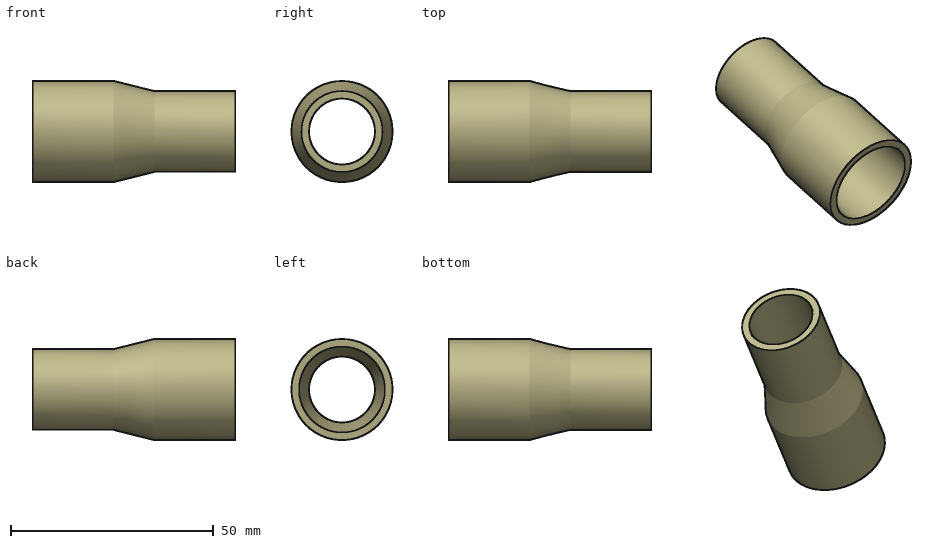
import cadquery as cq

large_outer_diameter = 25.0
large_bore_diameter = 21.2
small_outer_diameter = 20.0
small_bore_diameter = 16.2
socket_length = 20.0
taper_length = 10.0

taper_start = socket_length
taper_end = taper_start + taper_length
total_length = taper_end + socket_length


def stepped_body(large_diameter, small_diameter):
    """Solid of revolution about X: large cylinder, cone, small cylinder."""
    large_radius = large_diameter / 2
    small_radius = small_diameter / 2
    half_profile = [
        (0, 0),
        (0, large_radius),
        (taper_start, large_radius),
        (taper_end, small_radius),
        (total_length, small_radius),
        (total_length, 0),
    ]
    return (
        cq.Workplane("XZ")
        .polyline(half_profile)
        .close()
        .revolve(360, (0, 0, 0), (1, 0, 0))
    )


outside = stepped_body(large_outer_diameter, small_outer_diameter)
bore = stepped_body(large_bore_diameter, small_bore_diameter)
result = outside.cut(bore)